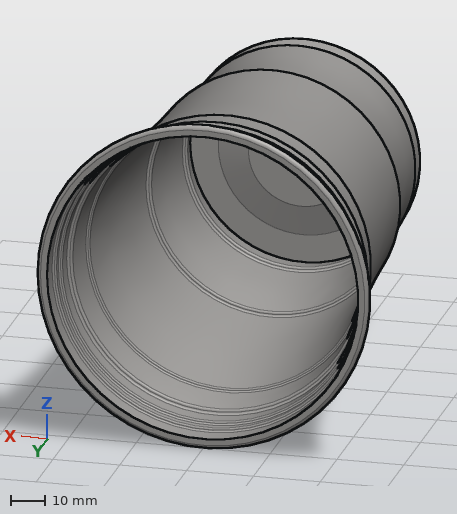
import cadquery as cq

height = 121.9
rim_radius = 49.7
wall = 1.0

bead_round = 1.2
bead_middle = 120.5
bead_bottom_radius, bead_bottom = 49.5, 119.6
lip_radius, lip_bottom = 48.6, 118.8

collar_radius, collar_bottom = 47.5, 115.0
groove_radius, groove_top, groove_bottom = 46.5, 113.9, 111.8
band_radius, band_top, band_bottom = 45.5, 110.7, 105.7
upper_top_radius, upper_top = 44.0, 104.1
upper_bottom_radius, upper_bottom = 43.0, 92.5

grip_top_radius, grip_top = 42.1, 91.5
grip_bottom_radius, grip_bottom = 38.4, 38.9
grip_sag = 0.5
lower_top_radius, lower_top = 37.1, 37.5
lower_bottom_radius, lower_bottom = 35.2, 7.9
lower_sag = 0.6

foot_top_radius, foot_top = 34.0, 6.5
foot_radius = 34.9
foot_round = 0.7

recess_depth = 2.4
recess_mouth_radius = 25.5
recess_floor_radius = 15.8


def step_out(profile, radius_end, y_end, radius_start, y_start):
    """Step up to a wider section: a hollow arc running into an equal rounded arc, upright at both ends."""
    run = radius_end - radius_start
    rise = y_end - y_start
    rounding = (run**2 + rise**2) / (4 * run)
    middle = (radius_start + run / 2, y_start + rise / 2)
    return (
        profile
        .radiusArc(middle, rounding)
        .radiusArc((radius_end, y_end), -rounding)
    )


def waist(profile, radius_top, y_top, radius_bottom, y_bottom, sag):
    """Arc up to the top of a waisted section."""
    middle = ((radius_top + radius_bottom) / 2 - sag, (y_top + y_bottom) / 2)
    return profile.threePointArc(middle, (radius_top, y_top))


def add_side(profile, offset):
    """Side from the foot top to the collar, moved inwards and upwards by the offset."""
    def at(radius, y):
        return radius - offset, y + offset

    foot = at(foot_top_radius, foot_top)
    lower_start = at(lower_bottom_radius, lower_bottom)
    lower_end = at(lower_top_radius, lower_top)
    grip_start = at(grip_bottom_radius, grip_bottom)
    grip_end = at(grip_top_radius, grip_top)
    upper_start = at(upper_bottom_radius, upper_bottom)
    upper_end = at(upper_top_radius, upper_top)
    band_start = at(band_radius, band_bottom)
    band_end = at(band_radius, band_top)
    groove_start = at(groove_radius, groove_bottom)
    groove_end = at(groove_radius, groove_top)
    collar = at(collar_radius, collar_bottom)

    profile = profile.lineTo(*foot)
    profile = step_out(profile, *lower_start, *foot)
    profile = waist(profile, *lower_end, *lower_start, lower_sag)
    profile = step_out(profile, *grip_start, *lower_end)
    profile = waist(profile, *grip_end, *grip_start, grip_sag)
    profile = step_out(profile, *upper_start, *grip_end).lineTo(*upper_end)
    profile = step_out(profile, *band_start, *upper_end).lineTo(*band_end)
    profile = step_out(profile, *groove_start, *band_end).lineTo(*groove_end)
    return step_out(profile, *collar, *groove_end)


def revolve_about_axis(profile):
    return profile.close().revolve(360, (0, 0), (0, 1))


def outer_body():
    profile = (
        cq.Workplane("XY")
        .moveTo(0, recess_depth)
        .lineTo(recess_floor_radius, recess_depth)
        .lineTo(recess_mouth_radius, 0)
        .lineTo(foot_radius - foot_round, 0)
        .radiusArc((foot_radius, foot_round), -foot_round)
    )
    profile = (
        add_side(profile, 0)
        .lineTo(collar_radius, lip_bottom)
        .lineTo(lip_radius, lip_bottom)
        .lineTo(bead_bottom_radius, bead_bottom)
        .threePointArc((rim_radius, bead_middle), (rim_radius - bead_round, height))
        .lineTo(0, height)
    )
    return revolve_about_axis(profile)


def cavity():
    """Inside of the cup, following the outside at the wall thickness."""
    profile = (
        cq.Workplane("XY")
        .moveTo(0, recess_depth + wall)
        .lineTo(recess_floor_radius, recess_depth + wall)
        .lineTo(recess_mouth_radius, wall)
        .lineTo(foot_radius - wall, wall)
    )
    profile = (
        add_side(profile, wall)
        .lineTo(collar_radius - wall, height)
        .lineTo(0, height)
    )
    return revolve_about_axis(profile)


result = outer_body().cut(cavity())